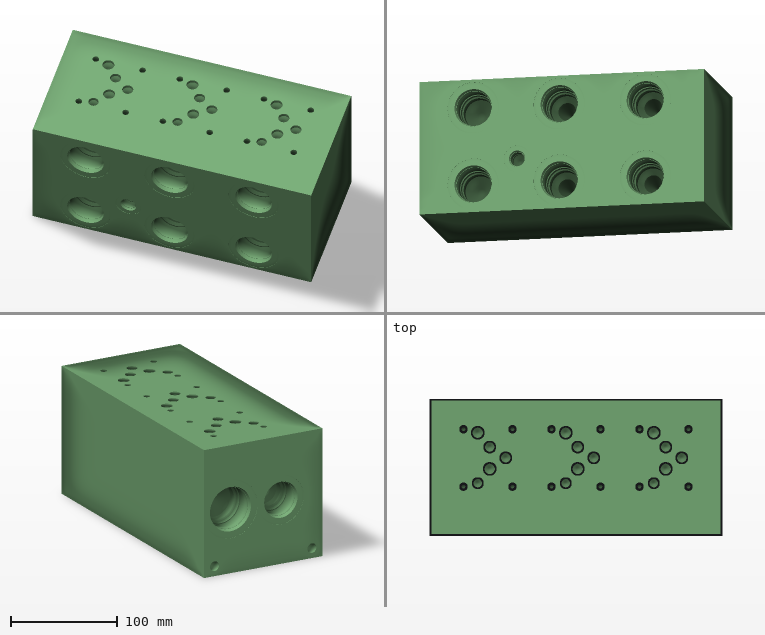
import cadquery as cq
import math

LENGTH = 273.0
WIDTH = 127.0
HEIGHT = 127.0
LEFT = -LENGTH / 2
FRONT = -WIDTH / 2
TOP = HEIGHT / 2
BOTTOM = -HEIGHT / 2

DRILL_POINT_ANGLE = 118.0
SPOTFACE_DEPTH = 0.3
SEAT_DEPTH = 4.0
THREAD_DEPTH = 19.0
TAP_DRILL_DEPTH = 23.5
PORT_DRILL_DEPTH = 32.8

STATION_COUNT = 3
STATION_PITCH = 82.5


LARGE_PORT = [
    (49.0, 49.0, SPOTFACE_DEPTH),
    (35.8, 33.9, SEAT_DEPTH),
    (33.3, 33.3, THREAD_DEPTH),
    (31.5, 31.5, TAP_DRILL_DEPTH),
]
WORK_DRILL_DIAMETER = 28.7
WORK_PORT_X = LEFT + 51.5
WORK_PORT_OFFSET_Z = 36.5

PASSAGE_DIAMETER = 17.0
PASSAGE_POINT_ANGLE = 34.0

GAUGE_PORT = [
    (25.0, 25.0, SPOTFACE_DEPTH),
    (15.5, 14.2, 2.5),
    (13.5, 13.5, 10.0),
    (12.3, 12.3, 12.3),
]
GAUGE_X = LEFT + 93.7
GAUGE_Z = -14.2

TANK_PORT = [
    (58.0, 58.0, SPOTFACE_DEPTH),
    (44.0, 41.8, SEAT_DEPTH),
    (41.2, 41.2, THREAD_DEPTH),
    (39.3, 39.3, TAP_DRILL_DEPTH),
]
TANK_DRILL_DIAMETER = 35.5
TANK_Y = 35.0
PRESSURE_DRILL_DIAMETER = 27.0
PRESSURE_Y = -19.0

MOUNT_HOLE = [(9.5, 9.5, 15.0), (8.0, 8.0, 19.0)]
MOUNT_SPACING = 104.5
MOUNT_HEIGHT = 9.8

BOLT_HOLE = [(6.3, 6.3, 11.0), (5.2, 5.2, 13.7)]
BOLT_X = LEFT + 31.0
BOLT_Y = -18.0
BOLT_SPACING_X = 46.0
BOLT_SPACING_Y = 53.8
VALVE_HOLE_DEPTH = 3.0
VALVE_HOLES = [
    (13.5, 3.3, 9.5),
    (24.5, 16.7, 11.2),
    (39.5, 27.0, 10.5),
    (24.5, 37.0, 10.5),
    (13.5, 50.5, 11.2),
]


def cone_length(diameter, angle):
    """Height of a cone with the given base diameter and full point angle."""
    return diameter / 2 / math.tan(math.radians(angle / 2))


def drilled(stages, face, centre, drill=None, passage=False):
    """Round cutter entering a face at centre and ending in a drill point.

    The optional drill, (diameter, depth), continues the hole below a conical
    shoulder. With a passage, the drill point opens into the tapering passage.
    """
    profile = [(0, 0)]
    depth = 0
    for start, end, end_depth in stages:
        profile.append((start / 2, -depth))
        profile.append((end / 2, -end_depth))
        depth = end_depth
    diameter = stages[-1][1]
    if drill:
        tip = depth + cone_length(diameter, DRILL_POINT_ANGLE)
        diameter, depth = drill
        profile.append((diameter / 2, cone_length(diameter, DRILL_POINT_ANGLE) - tip))
        profile.append((diameter / 2, -depth))
    tip = depth + cone_length(diameter, DRILL_POINT_ANGLE)
    if passage:
        shoulder = tip - cone_length(PASSAGE_DIAMETER, DRILL_POINT_ANGLE)
        profile.append((PASSAGE_DIAMETER / 2, -shoulder))
        tip = shoulder + cone_length(PASSAGE_DIAMETER, PASSAGE_POINT_ANGLE)
    profile.append((0, -tip))
    cutter = cq.Workplane("XZ").polyline(profile).close().revolve(360, (0, 0), (0, 1))
    return cutter.val().moved(cq.Plane.named(face, centre).location)


def front_holes():
    """Work ports in two rows, and the gauge port."""
    drill = (WORK_DRILL_DIAMETER, PORT_DRILL_DEPTH)
    holes = [drilled(GAUGE_PORT, "XZ", (GAUGE_X, FRONT, GAUGE_Z))]
    for station in range(STATION_COUNT):
        x = WORK_PORT_X + station * STATION_PITCH
        has_passage = station > 0
        for z in (-WORK_PORT_OFFSET_Z, WORK_PORT_OFFSET_Z):
            holes.append(drilled(LARGE_PORT, "XZ", (x, FRONT, z), drill, has_passage))
    return holes


def left_holes():
    """Tank port, pressure port and the two mounting holes."""
    tank_drill = (TANK_DRILL_DIAMETER, PORT_DRILL_DEPTH)
    pressure_drill = (PRESSURE_DRILL_DIAMETER, PORT_DRILL_DEPTH)
    holes = [
        drilled(TANK_PORT, "ZY", (LEFT, TANK_Y, 0), tank_drill),
        drilled(LARGE_PORT, "ZY", (LEFT, PRESSURE_Y, 0), pressure_drill, passage=True),
    ]
    for y in (-MOUNT_SPACING / 2, MOUNT_SPACING / 2):
        holes.append(drilled(MOUNT_HOLE, "ZY", (LEFT, y, BOTTOM + MOUNT_HEIGHT)))
    return holes


def top_holes():
    """Bolt holes and flow holes of every valve station."""
    holes = []
    for station in range(STATION_COUNT):
        x = BOLT_X + station * STATION_PITCH
        for dx in (0, BOLT_SPACING_X):
            for dy in (0, BOLT_SPACING_Y):
                holes.append(drilled(BOLT_HOLE, "XY", (x + dx, BOLT_Y + dy, TOP)))
        for dx, dy, diameter in VALVE_HOLES:
            stages = [(diameter, diameter, VALVE_HOLE_DEPTH)]
            holes.append(drilled(stages, "XY", (x + dx, BOLT_Y + dy, TOP)))
    return holes


result = cq.Workplane("XY").box(LENGTH, WIDTH, HEIGHT)
for hole in front_holes() + left_holes() + top_holes():
    result = result.cut(cq.Workplane(hole))